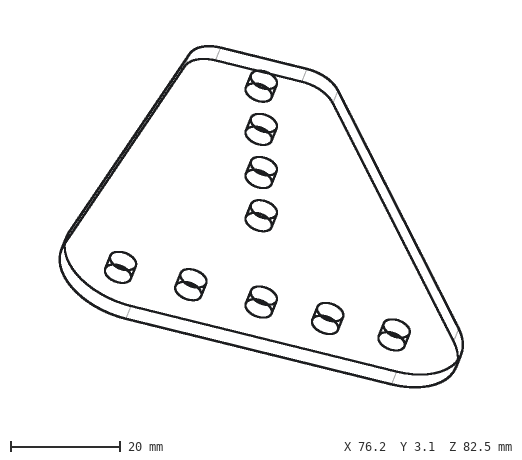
import cadquery as cq
import math

height = 82.55
thickness = 3.1
pitch = height / 6.5
hole_diameter = 5.0
left_hole_spacing = 13.45

bottom_radius = pitch
bottom_center_x = 2 * pitch
bottom_center_z = bottom_radius
top_radius = pitch / 2
top_center_x = 8.25
top_center_z = height - top_radius

center_run = bottom_center_x - top_center_x
center_rise = top_center_z - bottom_center_z
side_angle = math.atan2(center_run, center_rise) + math.asin(
    (bottom_radius - top_radius) / math.hypot(center_run, center_rise)
)


def arc_point(center_x, center_z, radius, angle):
    """Point on a corner arc at the given angle above +X."""
    return (center_x + radius * math.cos(angle), center_z + radius * math.sin(angle))


def bottom_point(angle):
    return arc_point(bottom_center_x, bottom_center_z, bottom_radius, angle)


def top_point(angle):
    return arc_point(top_center_x, top_center_z, top_radius, angle)


def mirrored(point):
    return (-point[0], point[1])


down = -math.pi / 2
up = math.pi / 2
bottom_start = bottom_point(down)
bottom_middle = bottom_point((down + side_angle) / 2)
bottom_end = bottom_point(side_angle)
top_start = top_point(side_angle)
top_middle = top_point((side_angle + up) / 2)
top_end = top_point(up)

plate = (
    cq.Workplane("XZ")
    .moveTo(*bottom_start)
    .threePointArc(bottom_middle, bottom_end)
    .lineTo(*top_start)
    .threePointArc(top_middle, top_end)
    .lineTo(*mirrored(top_end))
    .threePointArc(mirrored(top_middle), mirrored(top_start))
    .lineTo(*mirrored(bottom_end))
    .threePointArc(mirrored(bottom_middle), mirrored(bottom_start))
    .close()
    .extrude(-thickness)
)

row_x = [-2 * left_hole_spacing, -left_hole_spacing, 0, pitch, 2 * pitch]
row_holes = [(x, bottom_center_z) for x in row_x]
column_holes = [(0, bottom_center_z + step * pitch) for step in range(2, 6)]

holes = (
    cq.Workplane("XZ")
    .pushPoints(row_holes + column_holes)
    .circle(hole_diameter / 2)
    .extrude(-thickness)
)

result = plate.cut(holes)